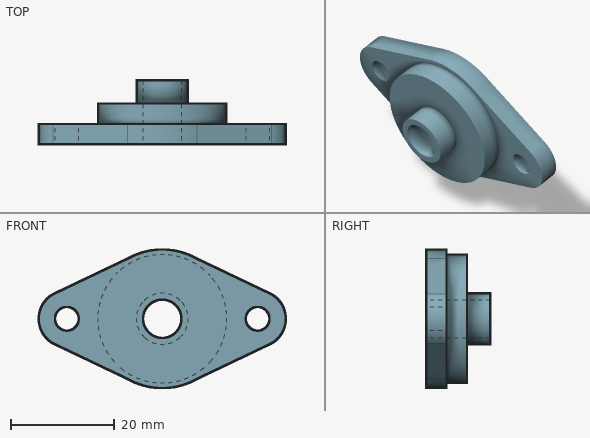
import cadquery as cq
import math

length = 48.0
height = 27.0
hole_spacing = 37.0
plate_thickness = 4.0
middle_radius = height / 2
ear_radius = (length - hole_spacing) / 2
middle_flank_x = 6.7
ear_flank_x = 21.15

disc_diameter = 25.0
disc_thickness = 4.0
spigot_diameter = 10.0
spigot_length = 4.5

bore_diameter = 7.4
bolt_hole_diameter = 4.55

total_depth = plate_thickness + disc_thickness + spigot_length
middle_flank_z = math.sqrt(middle_radius**2 - middle_flank_x**2)
ear_flank_z = math.sqrt(ear_radius**2 - (ear_flank_x - hole_spacing / 2) ** 2)


def section(y):
    """Workplane across the part axis at depth y, with its normal along +Y."""
    return cq.Workplane(cq.Plane(origin=(0, y, 0), xDir=(1, 0, 0), normal=(0, 1, 0)))


def cylinder(diameter, start_y, depth):
    return section(start_y).circle(diameter / 2).extrude(depth)


def flange_plate():
    return (
        section(0)
        .moveTo(-middle_flank_x, middle_flank_z)
        .threePointArc((0, middle_radius), (middle_flank_x, middle_flank_z))
        .lineTo(ear_flank_x, ear_flank_z)
        .threePointArc((length / 2, 0), (ear_flank_x, -ear_flank_z))
        .lineTo(middle_flank_x, -middle_flank_z)
        .threePointArc((0, -middle_radius), (-middle_flank_x, -middle_flank_z))
        .lineTo(-ear_flank_x, -ear_flank_z)
        .threePointArc((-length / 2, 0), (-ear_flank_x, ear_flank_z))
        .close()
        .extrude(plate_thickness)
    )


disc = cylinder(disc_diameter, plate_thickness, disc_thickness)
spigot = cylinder(spigot_diameter, plate_thickness + disc_thickness, spigot_length)
bore = cylinder(bore_diameter, 0, total_depth)

result = flange_plate().union(disc).union(spigot).cut(bore)
for side in (-1, 1):
    bolt_hole = cylinder(bolt_hole_diameter, 0, plate_thickness)
    result = result.cut(bolt_hole.translate((side * hole_spacing / 2, 0, 0)))